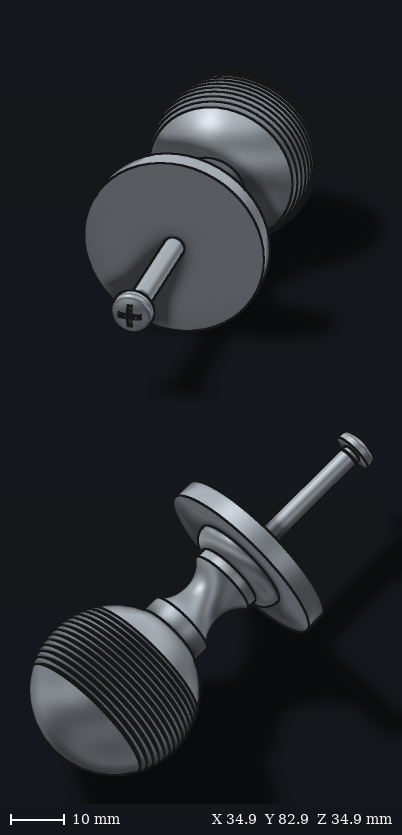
import cadquery as cq
import math


plate_radius = 34.9 / 2
plate_thickness = 4.0
collar_radius = 13.5 / 2
base_round = 3.1
lower_collar_height = 2.1
waist_height = 11.0
waist_radius = 4.3
upper_collar_height = 3.5

ball_radius = 15.9
groove_count = 13
groove_pitch = 15.5 / groove_count
groove_depth = 0.9

shaft_radius = 4.1 / 2
shaft_end = -24.9
neck_radius = 1.8
head_seat = -26.0
head_radius = 8.0 / 2
head_rim_height = 1.3
head_round_height = 0.8
crown_radius = 3.5
crown_height = 0.79
corner_arc_bulge = 0.1
recess_length = 4.3
recess_width = 0.8
recess_center_radius = 0.75
recess_depth = 1.0
recess_center_depth = 1.65

base_top = plate_thickness + base_round
waist_bottom = base_top + lower_collar_height
waist_top = waist_bottom + waist_height
ball_bottom = waist_top + upper_collar_height
ball_center = ball_bottom + math.sqrt(ball_radius**2 - collar_radius**2)
ball_top = ball_center + ball_radius
band_bottom = ball_center - groove_count * groove_pitch / 2
band_top = band_bottom + groove_count * groove_pitch
socket_depth = waist_bottom
rim_end = head_seat - head_rim_height
crown_start = rim_end - head_round_height
head_end = crown_start - crown_height


def turned(profile):
    """Close a half profile of (radius, Y) points and revolve it about the Y axis."""
    return profile.close().revolve(360, (0, 0, 0), (0, 1, 0))


def ball_point(y):
    """Point of the ball's half outline at height y."""
    return (math.sqrt(ball_radius**2 - (y - ball_center) ** 2), y)


def add_grooves(profile):
    """Continue the profile with a zigzag whose ridge tips lie on the ball."""
    for index in range(groove_count):
        ridge_y = band_bottom + (index + 1) * groove_pitch
        root_radius, root_y = ball_point(ridge_y - groove_pitch / 2)
        profile = profile.lineTo(root_radius - groove_depth, root_y)
        profile = profile.lineTo(*ball_point(ridge_y))
    return profile


def make_knob():
    """Plate, stem and grooved ball in one piece, with a blind hole for the screw."""
    round_middle = base_round * math.sqrt(0.5)
    profile = (
        cq.Workplane("XY")
        .moveTo(shaft_radius, 0)
        .lineTo(plate_radius, 0)
        .lineTo(plate_radius, plate_thickness)
        .lineTo(collar_radius + base_round, plate_thickness)
        .threePointArc(
            (collar_radius + round_middle, plate_thickness + round_middle),
            (collar_radius, base_top),
        )
        .lineTo(collar_radius, waist_bottom)
        .threePointArc((waist_radius, (waist_bottom + waist_top) / 2), (collar_radius, waist_top))
        .lineTo(collar_radius, ball_bottom)
        .threePointArc(ball_point((ball_bottom + band_bottom) / 2), ball_point(band_bottom))
    )
    profile = (
        add_grooves(profile)
        .threePointArc(ball_point((band_top + ball_top) / 2), (0, ball_top))
        .lineTo(0, socket_depth)
        .lineTo(shaft_radius, socket_depth)
    )
    return turned(profile)


def make_recess():
    """Cross with a deeper round centre, sunk into the crown of the screw head."""
    crown_plane = cq.Workplane("XZ", origin=(0, head_end, 0))
    arm_x = crown_plane.rect(recess_length, recess_width).extrude(-recess_depth)
    arm_z = crown_plane.rect(recess_width, recess_length).extrude(-recess_depth)
    center = crown_plane.circle(recess_center_radius).extrude(-recess_center_depth)
    return arm_x.union(arm_z).union(center)


def make_screw():
    """Shaft with a thinner neck and a domed, cross-recessed head."""
    profile = (
        cq.Workplane("XY")
        .moveTo(0, socket_depth)
        .lineTo(shaft_radius, socket_depth)
        .lineTo(shaft_radius, shaft_end)
        .lineTo(neck_radius, shaft_end - (shaft_radius - neck_radius))
        .lineTo(neck_radius, head_seat)
        .lineTo(head_radius, head_seat)
        .lineTo(head_radius, rim_end)
        .threePointArc(
            (
                (head_radius + crown_radius) / 2 + corner_arc_bulge,
                (rim_end + crown_start) / 2 - corner_arc_bulge / 2,
            ),
            (crown_radius, crown_start),
        )
        .radiusArc((0, head_end), (crown_radius**2 + crown_height**2) / (2 * crown_height))
    )
    return turned(profile).cut(make_recess())


knob = make_knob()
screw = make_screw()

result = cq.Compound.makeCompound([knob.val(), screw.val()])